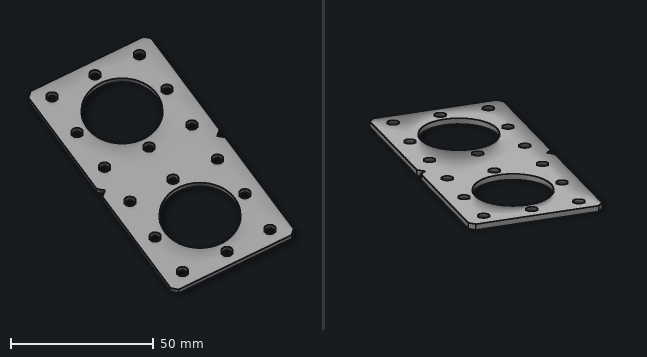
import cadquery as cq

length = 101.4
width = 50.6
thickness = 2.3
corner_chamfer = 2.1

notch_half_width = 2.0
notch_depth = 2.2

pattern_offset = 26.7
bore_diameter = 28.6
hole_diameter = 4.2
square_half_pitch = 17.9
cross_radius = 18.4


def make_plate():
    plate = cq.Workplane("XY").box(length, width, thickness)
    return plate.edges("|Z").chamfer(corner_chamfer)


def cut_notch(plate, side):
    """V notch through the long edge at +Y (side=1) or -Y (side=-1)."""
    edge_y = side * width / 2
    outline = [
        (-notch_half_width, edge_y),
        (0, edge_y - side * notch_depth),
        (notch_half_width, edge_y),
    ]
    top = plate.faces(">Z").workplane(origin=(0, 0, 0))
    return top.polyline(outline).close().cutThruAll()


def cut_hole_pattern(plate, center_x):
    """Large bore ringed by four cross holes and four holes on a square."""
    square = [
        (sx * square_half_pitch, sy * square_half_pitch)
        for sx in (-1, 1)
        for sy in (-1, 1)
    ]
    cross = [(cross_radius, 0), (-cross_radius, 0), (0, cross_radius), (0, -cross_radius)]
    pattern_origin = (center_x, 0, 0)
    plate = plate.faces(">Z").workplane(origin=pattern_origin).hole(bore_diameter)
    top = plate.faces(">Z").workplane(origin=pattern_origin)
    return top.pushPoints(square + cross).hole(hole_diameter)


result = make_plate()
for side in (-1, 1):
    result = cut_notch(result, side)
    result = cut_hole_pattern(result, side * pattern_offset)